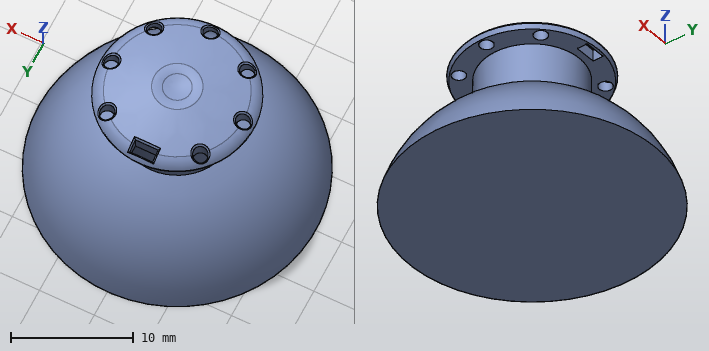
import cadquery as cq
import math

base_radius = 12.63
base_height = 8.4

neck_radius = 9.7 / 2
neck_top = 12.98

cap_bottom_radius = 6.8
cap_radius = 6.97
cap_rim_height = 13.45
crown_edge_radius = 6.0
crown_edge_height = 14.15

lip_radius = 2.1
lip_height = 14.93
dish_radius = 1.2
dish_edge_depth = 0.1
dish_center_depth = 0.25

opening_count = 8
opening_circle_radius = crown_edge_radius
hole_radius = 0.63
slot_length = 2.07
slot_width = 1.0
edge_break = 0.15


def sphere_center_height(r1, z1, r2, z2):
    """Height on the Z axis of the sphere through two profile points."""
    return (r2**2 + z2**2 - r1**2 - z1**2) / (2 * (z2 - z1))


def sphere_midpoint(r1, z1, r2, z2):
    """Profile point halfway out between two points on one axis-centred sphere."""
    center = sphere_center_height(r1, z1, r2, z2)
    radius = math.hypot(r1, z1 - center)
    middle = (r1 + r2) / 2
    return (middle, center + math.sqrt(radius**2 - middle**2))


def make_body():
    """Revolve the base, neck and cap as one profile."""
    base_middle = sphere_midpoint(base_radius, 0, neck_radius, base_height)
    crown = (crown_edge_radius, crown_edge_height, lip_radius, lip_height)
    crown_middle = sphere_midpoint(*crown)
    crown_center = sphere_center_height(*crown)

    crown_tangent = (crown_edge_height - crown_center, -crown_edge_radius)
    lip_tangent = (crown_center - lip_height, lip_radius)

    dish_depth = dish_center_depth - dish_edge_depth
    dish_sphere = (dish_radius**2 + dish_depth**2) / (2 * dish_depth)
    dish_middle = dish_radius / 2
    dish_bottom = lip_height - dish_center_depth
    dish_middle_height = dish_bottom + dish_sphere - math.sqrt(dish_sphere**2 - dish_middle**2)

    shoulder = cq.Edge.makeTangentArc(
        cq.Vector(crown_edge_radius, crown_edge_height),
        cq.Vector(*crown_tangent),
        cq.Vector(cap_radius, cap_rim_height),
    ).positionAt(0.5)
    lip = cq.Edge.makeTangentArc(
        cq.Vector(lip_radius, lip_height),
        cq.Vector(*lip_tangent),
        cq.Vector(dish_radius, lip_height - dish_edge_depth),
    ).positionAt(0.5)

    profile = (
        cq.Workplane("XZ")
        .lineTo(base_radius, 0)
        .threePointArc(base_middle, (neck_radius, base_height))
        .lineTo(neck_radius, neck_top)
        .lineTo(cap_bottom_radius, neck_top)
        .lineTo(cap_radius, cap_rim_height)
        .threePointArc((shoulder.x, shoulder.y), (crown_edge_radius, crown_edge_height))
        .threePointArc(crown_middle, (lip_radius, lip_height))
        .threePointArc((lip.x, lip.y), (dish_radius, lip_height - dish_edge_depth))
        .threePointArc((dish_middle, dish_middle_height), (0, dish_bottom))
        .close()
    )
    return profile.revolve(360, (0, 0, 0), (0, 1, 0))


def cut_openings(body):
    """Cut the round holes and the rectangular slot on the +Y side."""
    depth = lip_height - neck_top
    plane = cq.Workplane("XY", origin=(0, 0, neck_top))
    step = 360 / opening_count
    holes = plane.polarArray(opening_circle_radius, 90 + step, 360 - 2 * step, opening_count - 1)
    body = body.cut(holes.circle(hole_radius).extrude(depth))
    slot = plane.center(0, opening_circle_radius).rect(slot_length, slot_width).extrude(depth)
    return body.cut(slot)


def chamfer_opening_mouths(body):
    """Chamfer each opening where it meets the domed cap, leaving its bottom edge sharp."""
    margin = 0.13
    low = neck_top + 2 * margin
    for index in range(opening_count):
        angle = math.radians(90 + index * 360 / opening_count)
        x = opening_circle_radius * math.cos(angle)
        y = opening_circle_radius * math.sin(angle)
        half_x = (slot_length / 2 if index == 0 else hole_radius) + margin
        half_y = (slot_width / 2 if index == 0 else hole_radius) + margin
        mouth_box = cq.selectors.BoxSelector(
            (x - half_x, y - half_y, low),
            (x + half_x, y + half_y, lip_height),
            boundingbox=True,
        )
        mouth = body.edges(mouth_box).filter(lambda edge: edge.geomType() != "LINE")
        body = mouth.chamfer(edge_break)
    return body


result = chamfer_opening_mouths(cut_openings(make_body()))